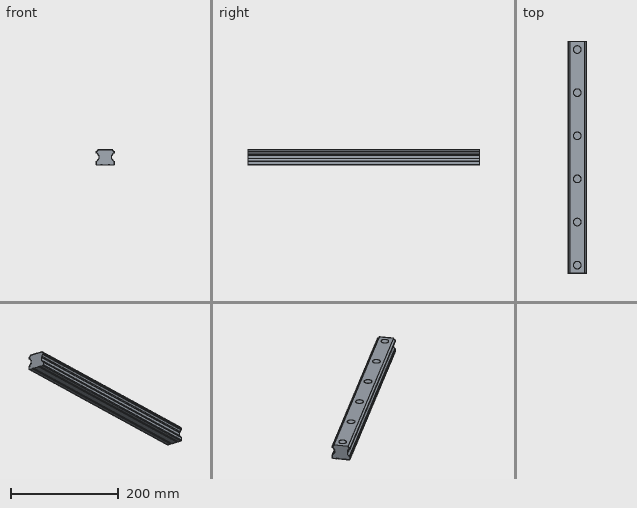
import cadquery as cq

length = 430.0
base_width = 34.0
height = 29.0

top_width = 27.0
land_width = 31.5
neck_width = 24.0

upper_groove_top = 28.0
lip_chamfer_height = 0.2
lip_chamfer_top = 25.5
lip_top = lip_chamfer_top - lip_chamfer_height
lip_bottom = 23.0
lip_chamfer_bottom = lip_bottom - lip_chamfer_height
lower_groove_bottom = 19.5
neck_top = 17.5
neck_bottom = 12.0
foot_shoulder = 7.5
foot_top = 6.5
foot_chamfer_width = 1.7
foot_chamfer_height = 1.5
groove_sag = 0.5

base_groove_offset = 7.5
base_groove_width = 2.5
base_groove_depth = 0.65
base_relief = 0.15

cap_diameter = 14.0
cap_recess = 0.2
cap_count = 6
cap_pitch = 80.0


def half_section():
    """Right half of the rail section."""
    half_base = base_width / 2
    half_land = land_width / 2
    half_top = top_width / 2
    half_neck = neck_width / 2
    groove_outer = base_groove_offset + base_groove_width / 2
    groove_inner = base_groove_offset - base_groove_width / 2
    return (
        cq.Workplane("XZ")
        .moveTo(0, height)
        .lineTo(half_top, height)
        .lineTo(half_top, upper_groove_top)
        .sagittaArc((half_land, lip_chamfer_top), -groove_sag)
        .lineTo(half_base, lip_top)
        .lineTo(half_base, lip_bottom)
        .lineTo(half_land, lip_chamfer_bottom)
        .sagittaArc((half_top, lower_groove_bottom), -groove_sag)
        .lineTo(half_neck, neck_top)
        .lineTo(half_neck, neck_bottom)
        .lineTo(half_land, foot_shoulder)
        .lineTo(half_base, foot_top)
        .lineTo(half_base, foot_chamfer_height)
        .lineTo(half_base - foot_chamfer_width, 0)
        .lineTo(groove_outer, 0)
        .lineTo(groove_outer, base_groove_depth)
        .lineTo(groove_inner, base_groove_depth)
        .lineTo(groove_inner, base_relief)
        .lineTo(0, base_relief)
    )


def rail_body():
    """Extrude the full mirrored section along Y, centred on the origin."""
    return half_section().mirrorY().extrude(length / 2, both=True)


def cap_recesses():
    """Row of shallow round recesses along the top face."""
    return (
        cq.Workplane("XY")
        .workplane(offset=height - cap_recess)
        .rarray(4.5, cap_pitch, 1, cap_count)
        .circle(cap_diameter / 2)
        .extrude(cap_recess)
    )


result = rail_body().cut(cap_recesses())